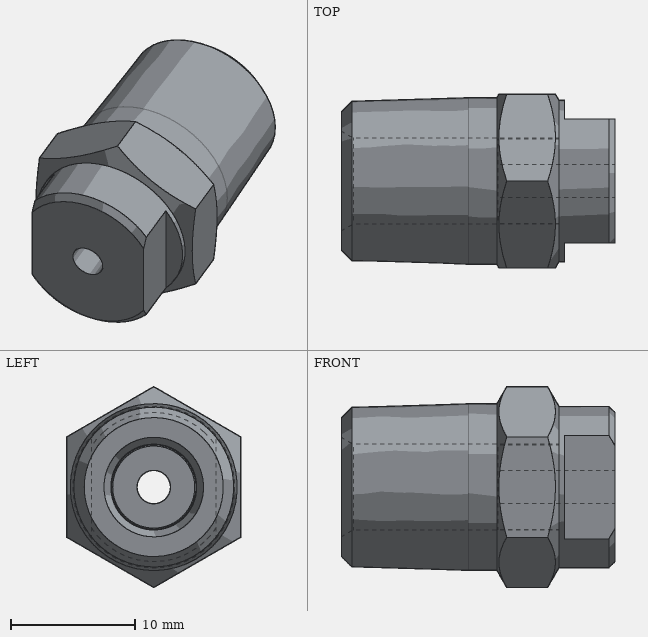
import cadquery as cq
import math

total_length = 22.0
taper_end = 10.2
hex_start = 12.5
hex_end = 17.5
flats_start = 17.95

shank_diameter = 13.42
taper_small_diameter = 12.85
collar_diameter = 13.0
entry_chamfer = 0.84
collar_chamfer = 0.5

hex_across_flats = 14.0
hex_chamfer_angle = 30.0
collar_across_flats = 9.99

bore_diameter = 6.9
bore_mouth_diameter = 8.0
bore_chamfer_angle = 30.0
bore_floor = hex_end

disc_diameter = 6.8
disc_thickness = 5.0
disc_edge_chamfer = 0.1
orifice_diameter = 2.66

hex_corner_diameter = hex_across_flats / math.cos(math.radians(30))
bore_chamfer_depth = (bore_mouth_diameter - bore_diameter) / 2 / math.tan(math.radians(bore_chamfer_angle))
disc_start = bore_floor - disc_thickness


def rod(diameter, start, length):
    """Cylinder along X beginning at the given position."""
    return cq.Workplane("YZ", origin=(start, 0, 0)).circle(diameter / 2).extrude(length)


def revolved(points):
    """Solid of revolution about X from (position, radius) points."""
    return cq.Workplane("XY").polyline(points).close().revolve(360, (0, 0, 0), (1, 0, 0))


def make_shank():
    """Tapered male end with a chamfered entry and a short straight neck."""
    return revolved([
        (0, 0),
        (0, taper_small_diameter / 2 - entry_chamfer),
        (entry_chamfer, taper_small_diameter / 2),
        (taper_end, shank_diameter / 2),
        (hex_start, shank_diameter / 2),
        (hex_start, 0),
    ])


def make_hex():
    """Wrench hexagon with corners along Z, trimmed by a cone at each end."""
    prism = (
        cq.Workplane("YZ", origin=(hex_start, 0, 0))
        .polygon(6, hex_corner_diameter)
        .extrude(hex_end - hex_start)
        .rotate((0, 0, 0), (1, 0, 0), 90)
    )
    rim_radius = hex_corner_diameter / 2
    slope = math.tan(math.radians(hex_chamfer_angle))
    front_chamfer = (rim_radius - shank_diameter / 2) * slope
    back_chamfer = (rim_radius - collar_diameter / 2) * slope
    envelope = revolved([
        (hex_start, 0),
        (hex_start, shank_diameter / 2),
        (hex_start + front_chamfer, rim_radius),
        (hex_end - back_chamfer, rim_radius),
        (hex_end, collar_diameter / 2),
        (hex_end, 0),
    ])
    return prism.intersect(envelope)


def make_collar():
    """Round end with a chamfered rim and two flats facing -Y and +Y."""
    collar = rod(collar_diameter, hex_end, total_length - hex_end).faces(">X").chamfer(collar_chamfer)
    flats_length = total_length - flats_start
    cut_height = (collar_diameter - collar_across_flats) / 2
    for side in (-1, 1):
        cutter = cq.Workplane("XY").box(flats_length, cut_height, collar_diameter).translate(
            (flats_start + flats_length / 2, side * (collar_across_flats + cut_height) / 2, 0)
        )
        collar = collar.cut(cutter)
    return collar


def make_bore():
    """Blind bore with a chamfered mouth."""
    return revolved([
        (0, 0),
        (0, bore_mouth_diameter / 2),
        (bore_chamfer_depth, bore_diameter / 2),
        (bore_floor, bore_diameter / 2),
        (bore_floor, 0),
    ])


def make_fitting_body():
    """Threaded-end fitting with the bore and an outlet matching the orifice."""
    outside = make_shank().union(make_hex()).union(make_collar())
    outlet = rod(orifice_diameter, bore_floor, total_length - bore_floor)
    return outside.cut(make_bore()).cut(outlet)


def make_orifice_disc():
    """Round disc with a central through hole and a chamfered edge at the mouth side."""
    disc = rod(disc_diameter, disc_start, disc_thickness).faces("<X").chamfer(disc_edge_chamfer)
    return disc.cut(rod(orifice_diameter, disc_start, disc_thickness))


fitting_body = make_fitting_body()
orifice_disc = make_orifice_disc()

result = cq.Compound.makeCompound([fitting_body.val(), orifice_disc.val()])